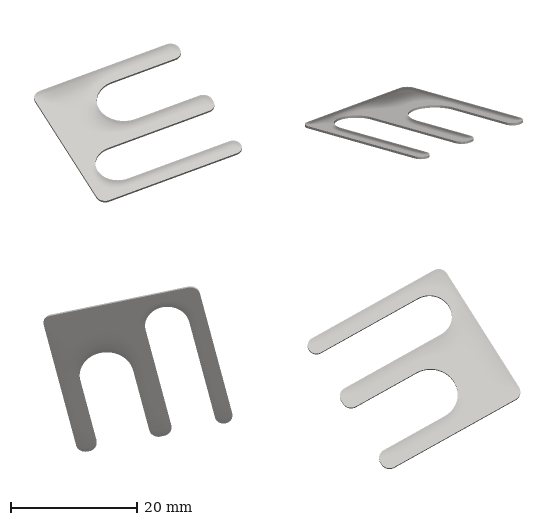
import cadquery as cq

side = 25.4
thickness = 0.38
corner_radius = 1.5

wide_slot_x = 7.62
wide_slot_width = 8.6
wide_slot_floor = 8.38
narrow_slot_x = 19.05
narrow_slot_width = 7.1
narrow_slot_floor = 2.55

tip_radius = 1.5
right_tip_radius = 1.37


def open_slot(center_x, width, floor_y):
    """Round-bottomed slot cutter running out through the +Y edge."""
    radius = width / 2
    arc_y = floor_y + radius
    return (
        cq.Workplane("XY")
        .moveTo(center_x - radius, side)
        .lineTo(center_x - radius, arc_y)
        .threePointArc((center_x, floor_y), (center_x + radius, arc_y))
        .lineTo(center_x + radius, side)
        .close()
        .extrude(thickness)
    )


plate = cq.Workplane("XY").box(side, side, thickness, centered=False)
plate = plate.cut(open_slot(wide_slot_x, wide_slot_width, wide_slot_floor))
plate = plate.cut(open_slot(narrow_slot_x, narrow_slot_width, narrow_slot_floor))

plate = plate.edges("|Z and <Y").fillet(corner_radius)
tip_edges = plate.faces(">Y").edges("|Z").vals()
other_tips = [edge for edge in tip_edges if edge.Center().x < narrow_slot_x]
plate = plate.newObject(other_tips).fillet(tip_radius)
right_tips = [edge for edge in plate.faces(">Y").edges("|Z").vals() if edge.Center().x > narrow_slot_x]
result = plate.newObject(right_tips).fillet(right_tip_radius)